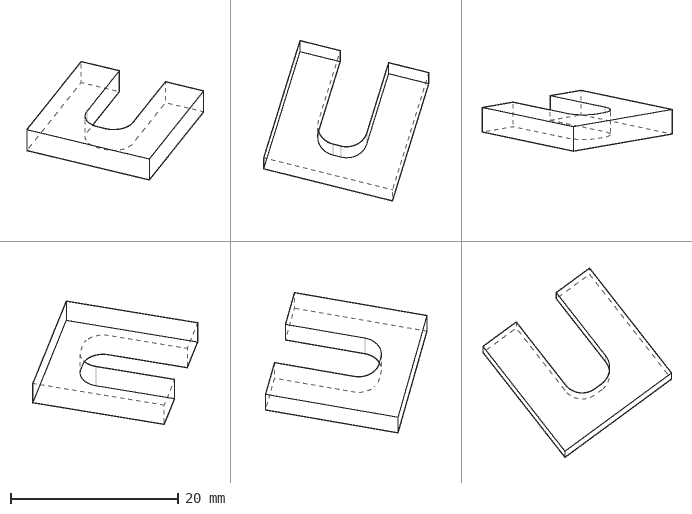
import cadquery as cq

width = 16.0
length = 16.25
thickness = 3.0

slot_width = 6.0
web = 4.0
slot_corner_radius = 2.5

slot_length = length - web

plate = cq.Workplane("XY").box(width, length, thickness, centered=(True, False, False))

slot = (
    cq.Workplane("XY")
    .box(slot_width, slot_length, thickness, centered=(True, False, False))
    .translate((0, web, 0))
    .edges("|Z and <Y")
    .fillet(slot_corner_radius)
)

result = plate.cut(slot)